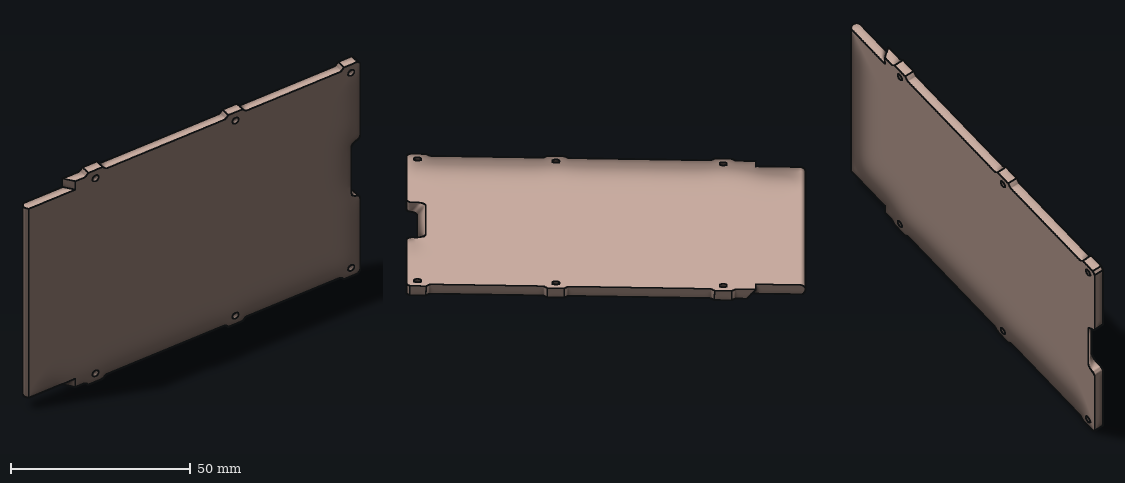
import cadquery as cq
import math

thickness = 3.0
edge_radius = thickness / 2
turn_angle = 51.97
overall_depth = 88.85
tab_height = 1.1
overall_height = 76.0
body_height = overall_height - 2 * tab_height
tongue_height = 67.8
step_from_low_side = 12.2

hole_diameter = 2.0
hole_inset = 3.0
hole_distances = (3.0, 41.6, 88.2)
tab_half_width = 2.4
tab_foot_radius = 1.0
end_corner_chamfer = 0.9

notch_half_height = 10.0
notch_depth = 4.2
notch_floor_radius = 1.95
notch_mouth_radius = 1.4

turn = math.radians(turn_angle)
low_y = -edge_radius
high_y = low_y + overall_depth
length = (high_y - edge_radius * math.cos(turn)) / math.sin(turn)
cut_reach = 2 * length


def block(x_start, x_end, height):
    return (
        cq.Workplane("XY")
        .box(x_end - x_start, thickness, height, centered=(False, True, True))
        .translate((x_start, 0, 0))
    )


def turned(shape):
    return shape.rotate((0, 0, 0), (0, 0, 1), turn_angle)


def make_plate():
    """Full-height body, rounded tongue and the steps between them."""
    body = turned(block(0, length, body_height))
    behind_step = cq.Workplane("XY").box(
        cut_reach, cut_reach, overall_height, centered=(True, False, True)
    ).translate((0, low_y + step_from_low_side, 0))
    tongue = block(0, length / 2, tongue_height)
    rounded_edge = cq.Workplane("XY").circle(edge_radius).extrude(tongue_height / 2, both=True)
    flat_width = edge_radius * math.tan(turn / 2)
    front_tangent = (edge_radius * math.sin(turn), -edge_radius * math.cos(turn))
    lip = (
        cq.Workplane("XY")
        .polyline([(0, 0), (0, low_y), (flat_width, low_y), front_tangent])
        .close()
        .extrude(tongue_height / 2, both=True)
    )
    tongue = turned(tongue).union(rounded_edge).union(lip)
    return body.intersect(behind_step).union(tongue)


def make_tab(hole_distance):
    """Upper tab around one hole, with 45 degree flanks blended into the body."""
    center = length - hole_distance
    crest = overall_height / 2
    foot = body_height / 2
    root = foot - tab_height
    blend = tab_foot_radius * math.tan(math.pi / 8)
    toe = tab_half_width + tab_height + blend
    arc_end = toe - tab_foot_radius * math.sin(math.pi / 4)
    arc_end_z = foot + tab_foot_radius * (1 - math.cos(math.pi / 4))
    arc_middle = toe - tab_foot_radius * math.sin(math.pi / 8)
    arc_middle_z = foot + tab_foot_radius * (1 - math.cos(math.pi / 8))
    tab = (
        cq.Workplane("XZ")
        .moveTo(center - toe, root)
        .lineTo(center - toe, foot)
        .threePointArc((center - arc_middle, arc_middle_z), (center - arc_end, arc_end_z))
        .lineTo(center - tab_half_width, crest)
        .lineTo(center + tab_half_width, crest)
        .lineTo(center + arc_end, arc_end_z)
        .threePointArc((center + arc_middle, arc_middle_z), (center + toe, foot))
        .lineTo(center + toe, root)
        .close()
        .extrude(thickness / 2, both=True)
    )
    if center + toe > length:
        tab = square_off(tab, center)
    return turned(tab)


def square_off(tab, center):
    """Carry the crest to the far end, leaving only a corner chamfer there."""
    end_limit = block(0, length, overall_height)
    crest_fill = (
        cq.Workplane("XY")
        .box(length - center, thickness, 2 * tab_height, centered=(False, True, False))
        .translate((center, 0, overall_height / 2 - 2 * tab_height))
        .edges(">X and >Z")
        .chamfer(end_corner_chamfer)
    )
    return tab.intersect(end_limit.cut(block(center, length, overall_height))).union(crest_fill)


def make_holes():
    """Through holes square to the plate, one in every tab."""
    hole_z = overall_height / 2 - hole_inset
    centers = [(length - d, z) for d in hole_distances for z in (hole_z, -hole_z)]
    return turned(
        cq.Workplane("XZ").pushPoints(centers).circle(hole_diameter / 2).extrude(thickness, both=True)
    )


def make_notch():
    """Far-end notch, cut along X so that its floor is slanted in the plate."""
    return (
        cq.Workplane("XY")
        .box(cut_reach, 2 * notch_depth, 2 * notch_half_height)
        .edges("|X and <Y")
        .fillet(notch_floor_radius)
        .translate((0, high_y, 0))
    )


def round_notch_mouth(part):
    """Round the two upright corners where the notch opens at the far end."""
    end_x = length * math.cos(turn)
    end_y = length * math.sin(turn)
    low_corner = (end_x - thickness, end_y - thickness, -notch_half_height - notch_mouth_radius)
    high_corner = (end_x + thickness, end_y + thickness, notch_half_height + notch_mouth_radius)
    mouth = cq.selectors.BoxSelector(low_corner, high_corner)
    across_plate = cq.selectors.ParallelDirSelector(cq.Vector(-math.sin(turn), math.cos(turn), 0))
    return part.edges(mouth).edges(across_plate).fillet(notch_mouth_radius)


result = make_plate()
for distance in hole_distances:
    upper_tab = make_tab(distance)
    result = result.union(upper_tab).union(upper_tab.mirror("XY"))
result = result.cut(make_holes()).cut(make_notch())
result = round_notch_mouth(result)